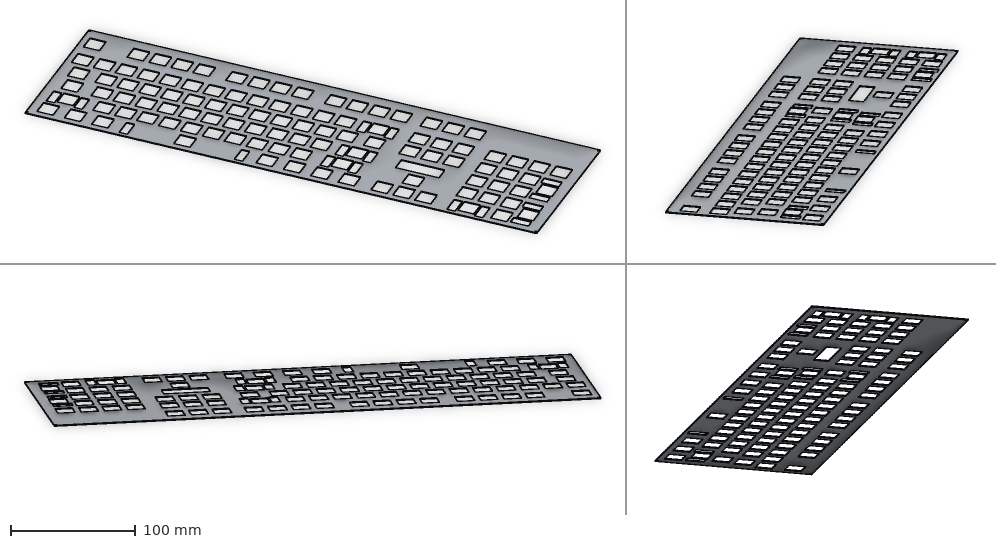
import cadquery as cq

plate_length = 445.5
plate_width = 130.5
plate_thickness = 1.0
corner_hole_diameter = 1.55
corner_hole_inset = 1.5

main_block_units = 15
main_block_width = 286.0
pitch = main_block_width / main_block_units
edge_margin = 2.95
function_row_gap = 5.5
navigation_gap = 7.0
number_pad_gap = 9.0

number_row_keys = 13
number_row_span = 242.5
switch_size = number_row_span - (number_row_keys - 1) * pitch
corner_radius = 0.5

slot_width = 7.0
slot_length = 15.5
slot_drop = 1.5
short_slot_spacing = 24.0
space_bar_slot_spacing = 100.0

window_length = 38.0
window_width = 12.5
window_offset = 1.55

space_bar_units = 6.25
stabilised_units = 2
number_row_widths = [1] * number_row_keys + [2]
upper_row_widths = [1.5] + [1] * 12 + [1.5]
home_row_widths = [1.75] + [1] * 11 + [2.25]
shift_row_widths = [2.25] + [1] * 10 + [2.75]
bottom_row_widths = [1.25] * 3 + [space_bar_units] + [1.25] * 4
function_key_starts = [0, 2, 3, 4, 5, 6.5, 7.5, 8.5, 9.5, 11, 12, 13, 14]
block_columns = range(3)

main_edge = edge_margin - plate_length / 2
navigation_edge = main_edge + main_block_width + navigation_gap
number_pad_edge = navigation_edge + len(block_columns) * pitch + number_pad_gap
bottom_row = edge_margin + pitch / 2 - plate_width / 2
shift_row = bottom_row + pitch
home_row = shift_row + pitch
upper_row = home_row + pitch
number_row = upper_row + pitch
function_row = number_row + pitch + function_row_gap

switches = []
upright_slots = []
lying_slots = []


def key_x(block_edge, start, units=1):
    """Centre of a key that begins a number of key units from the edge of its block."""
    return block_edge + (start + units / 2) * pitch


def add_wide_key(x, y, slot_spacing):
    """Switch with a stabiliser slot on its left and right."""
    switches.append((x, y))
    for side in (-1, 1):
        upright_slots.append((x + side * slot_spacing / 2, y - slot_drop))


def add_tall_key(x, y):
    """Switch with a stabiliser slot above and below it."""
    switches.append((x, y))
    for side in (-1, 1):
        lying_slots.append((x - slot_drop, y + side * short_slot_spacing / 2))


def add_main_row(y, widths):
    """One row of the main block, with stabilisers on its long keys."""
    start = 0
    for units in widths:
        x = key_x(main_edge, start, units)
        if units == space_bar_units:
            add_wide_key(x, y, space_bar_slot_spacing)
        elif units >= stabilised_units:
            add_wide_key(x, y, short_slot_spacing)
        else:
            switches.append((x, y))
        start += units


add_main_row(number_row, number_row_widths)
add_main_row(upper_row, upper_row_widths)
add_main_row(home_row, home_row_widths)
add_main_row(shift_row, shift_row_widths)
add_main_row(bottom_row, bottom_row_widths)
for start in function_key_starts:
    switches.append((key_x(main_edge, start), function_row))

for y in (function_row, number_row, upper_row, bottom_row):
    for column in block_columns:
        switches.append((key_x(navigation_edge, column), y))
navigation_middle = key_x(navigation_edge, 1)
switches.append((navigation_middle, shift_row))

for y in (number_row, upper_row, home_row, shift_row):
    for column in block_columns:
        switches.append((key_x(number_pad_edge, column), y))
add_wide_key(key_x(number_pad_edge, 0, 2), bottom_row, short_slot_spacing)
switches.append((key_x(number_pad_edge, 2), bottom_row))
last_column = key_x(number_pad_edge, 3)
switches.append((last_column, number_row))
add_tall_key(last_column, (upper_row + home_row) / 2)
add_tall_key(last_column, (shift_row + bottom_row) / 2)

window = (navigation_middle - window_offset, home_row - window_offset)

corner_hole_x = plate_length / 2 - corner_hole_inset
corner_hole_y = plate_width / 2 - corner_hole_inset
corner_holes = [(x, y) for x in (-corner_hole_x, corner_hole_x) for y in (-corner_hole_y, corner_hole_y)]


def add_openings(sketch, centres, length, width):
    """Add a rectangular opening with rounded corners at each centre."""
    half_length = length / 2
    half_width = width / 2
    corners = [
        cq.Vector(-half_length, -half_width),
        cq.Vector(half_length, -half_width),
        cq.Vector(half_length, half_width),
        cq.Vector(-half_length, half_width),
    ]
    sharp = cq.Wire.makePolygon(corners, close=True)
    outline = sharp.fillet2D(corner_radius, sharp.Vertices())
    return sketch.pushPoints(centres).eachpoint(lambda place: outline.moved(place))


sketch = cq.Workplane("XY").workplane(offset=-plate_thickness / 2).rect(plate_length, plate_width)
sketch = add_openings(sketch, switches, switch_size, switch_size)
sketch = add_openings(sketch, upright_slots, slot_width, slot_length)
sketch = add_openings(sketch, lying_slots, slot_length, slot_width)
sketch = add_openings(sketch, [window], window_length, window_width)
sketch = sketch.pushPoints(corner_holes).circle(corner_hole_diameter / 2)

result = sketch.extrude(plate_thickness)